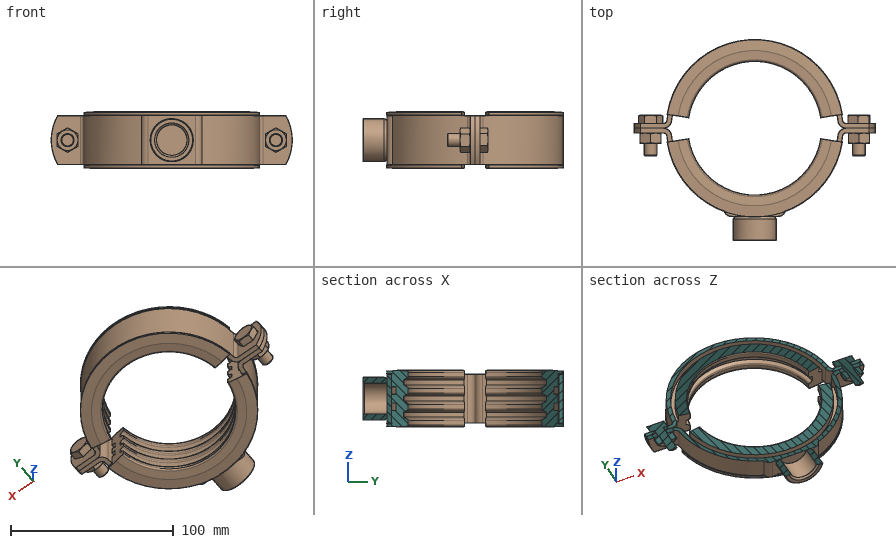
import cadquery as cq
import math


BAND_RADIUS = 54.2
SHEET = 3.0
BAND_WIDTH = 30.0
BEND_RADIUS = 2.0
FLANGE_REACH = 74.0
FLANGE_CORNER = 70.0
BAND_BORE_RADIUS = BAND_RADIUS - SHEET

PAD_DISTANCE = BAND_RADIUS
PAD_FLAT = 14.5
PAD_ROUND = 4.3

LINER_WIDTH = 35.0
LIP_RADIUS = 54.5
RIDGE_RADIUS = 47.7
RIB_RADIUS = 41.0
RIB_ROUND = 1.0
CHANNEL_CLEARANCE = 0.3
END_FACE_DROP = 0.5
LINER_GAP_ANGLE = 9.0
GROOVE_PITCH = 9.9
GROOVE_MOUTH = 5.9
GROOVE_FLOOR = 3.0
GROOVE_DEPTH = 2.8
RELIEF_WIDTH = 4.5
RELIEF_DEPTH = 2.5

BOLT_X = 64.0
BOLT_DIAMETER = 8.0
BOLT_TIP_Y = -17.0
BOLT_TIP_CHAMFER = 0.5
HEX_FLATS = 13.0
HEX_CORNERS = HEX_FLATS / math.cos(math.pi / 6)
HEX_FACE_DIAMETER = 12.7
HEX_CHAMFER_ANGLE = 25.0
HEAD_HEIGHT = 5.0
HEAD_TURNS = {-1: 0.0, 1: 33.4}
NUT_HEIGHT = 6.4
NUT_TURN = 30.0

BOSS_DIAMETER = 26.5
BOSS_TIP_Y = -69.0
BOSS_BORE = 18.6
BOSS_BORE_MOUTH = 21.0
BOSS_RIM_CHAMFER = 0.5
BOSS_NECK_INSET = 0.9
BOSS_NECK_LENGTH = 1.6

SIDES = (-1, 1)


def polar(radius, degrees):
    angle = math.radians(degrees)
    return (radius * math.cos(angle), radius * math.sin(angle))


def mirror_x(point):
    return (-point[0], point[1])


def y_cylinder(diameter, x, y_start, y_end):
    """Cylinder along Y from y_start to y_end."""
    length = abs(y_end - y_start)
    return cq.Workplane("XZ", origin=(x, max(y_start, y_end), 0)).circle(diameter / 2).extrude(length)


def band_blank():
    """Upper half band (Y > 0): an arc of sheet bent outward into a flange at both ends."""
    bend_y = SHEET + BEND_RADIUS
    bend_centre_distance = BAND_RADIUS + BEND_RADIUS
    bend_angle = math.degrees(math.asin(bend_y / bend_centre_distance))
    bend_x, _ = polar(bend_centre_distance, bend_angle)
    mid_angle = math.radians(180 + (bend_angle + 90) / 2)

    def bend_middle(radius):
        return (bend_x + radius * math.cos(mid_angle), bend_y + radius * math.sin(mid_angle))

    inner_end = polar(BAND_BORE_RADIUS, bend_angle)
    inner_bend = bend_middle(BEND_RADIUS + SHEET)
    outer_end = polar(BAND_RADIUS, bend_angle)
    outer_bend = bend_middle(BEND_RADIUS)

    profile = (
        cq.Workplane("XY", origin=(0, 0, -BAND_WIDTH / 2))
        .moveTo(*outer_end)
        .threePointArc((0, BAND_RADIUS), mirror_x(outer_end))
        .threePointArc(mirror_x(outer_bend), (-bend_x, SHEET))
        .lineTo(-FLANGE_REACH, SHEET)
        .lineTo(-FLANGE_REACH, 0)
        .lineTo(-bend_x, 0)
        .threePointArc(mirror_x(inner_bend), mirror_x(inner_end))
        .threePointArc((0, BAND_BORE_RADIUS), inner_end)
        .threePointArc(inner_bend, (bend_x, 0))
        .lineTo(FLANGE_REACH, 0)
        .lineTo(FLANGE_REACH, SHEET)
        .lineTo(bend_x, SHEET)
        .threePointArc(outer_bend, outer_end)
        .close()
    )
    return profile.extrude(BAND_WIDTH)


def band_outline():
    """Block with the front outline of the clamp, which rounds the flange ends."""
    half = BAND_WIDTH / 2
    return (
        cq.Workplane("XZ")
        .moveTo(-FLANGE_CORNER, -half)
        .lineTo(FLANGE_CORNER, -half)
        .threePointArc((FLANGE_REACH, 0), (FLANGE_CORNER, half))
        .lineTo(-FLANGE_CORNER, half)
        .threePointArc((-FLANGE_REACH, 0), (-FLANGE_CORNER, -half))
        .close()
        .extrude(BAND_RADIUS + SHEET, both=True)
    )


def upper_band():
    """Half band with bolt holes in its flanges."""
    band = band_blank().intersect(band_outline())
    for side in SIDES:
        band = band.cut(y_cylinder(BOLT_DIAMETER, side * BOLT_X, 0, SHEET))
    return band


def boss_pad():
    """Flat raised pad on the -Y side of the lower band, with rounded ends."""
    half_length = PAD_FLAT + PAD_ROUND
    inner_y = -BAND_BORE_RADIUS + SHEET
    pad = (
        cq.Workplane("XY")
        .box(2 * half_length, PAD_DISTANCE + inner_y, BAND_WIDTH)
        .translate((0, (inner_y - PAD_DISTANCE) / 2, 0))
        .edges("|Z and <Y")
        .fillet(PAD_ROUND)
    )
    pipe_side = cq.Workplane("XY").circle(BAND_BORE_RADIUS).extrude(BAND_WIDTH / 2, both=True)
    return pad.cut(pipe_side)


def lower_band():
    """Mirrored half band that carries the boss pad."""
    return upper_band().mirror("XZ").union(boss_pad())


def liner_ring():
    """Full ring with roof-shaped end faces and a channel in its back that holds the band."""
    half = LINER_WIDTH / 2
    rim = half - END_FACE_DROP
    channel = BAND_WIDTH / 2 + CHANNEL_CLEARANCE
    return (
        cq.Workplane("XZ")
        .polyline([
            (RIB_RADIUS, rim),
            (RIDGE_RADIUS, half),
            (LIP_RADIUS, rim),
            (LIP_RADIUS, channel),
            (BAND_BORE_RADIUS, channel),
            (BAND_BORE_RADIUS, -channel),
            (LIP_RADIUS, -channel),
            (LIP_RADIUS, -rim),
            (RIDGE_RADIUS, -half),
            (RIB_RADIUS, -rim),
        ])
        .close()
        .revolve(360, (0, 0, 0), (0, 1, 0))
    )


def inner_groove(z):
    """Trapezoidal groove between two ribs, centred at height z."""
    return (
        cq.Workplane("XZ")
        .polyline([
            (RIB_RADIUS, z - GROOVE_MOUTH / 2),
            (RIB_RADIUS + GROOVE_DEPTH, z - GROOVE_FLOOR / 2),
            (RIB_RADIUS + GROOVE_DEPTH, z + GROOVE_FLOOR / 2),
            (RIB_RADIUS, z + GROOVE_MOUTH / 2),
        ])
        .close()
        .revolve(360, (0, 0, 0), (0, 1, 0))
    )


def round_ribs(ring):
    """Round both edges of every rib tip."""
    tolerance = 0.01
    tip_edges = ring.edges("%CIRCLE").filter(lambda edge: abs(edge.radius() - RIB_RADIUS) < tolerance)
    return tip_edges.fillet(RIB_ROUND)


def back_relief(z):
    """Square groove in the back of the liner, centred at height z behind a rib."""
    return (
        cq.Workplane("XY", origin=(0, 0, z))
        .circle(BAND_BORE_RADIUS)
        .circle(BAND_BORE_RADIUS - RELIEF_DEPTH)
        .extrude(RELIEF_WIDTH / 2, both=True)
    )


def upper_liner():
    """Sector of the ribbed ring that lines the upper half band."""
    ring = liner_ring()
    for z in (-GROOVE_PITCH, 0, GROOVE_PITCH):
        ring = ring.cut(inner_groove(z))
    ring = round_ribs(ring)
    for side in SIDES:
        ring = ring.cut(back_relief(side * GROOVE_PITCH / 2))
    reach = 2 * LIP_RADIUS
    end_right = polar(reach, LINER_GAP_ANGLE)
    sector = (
        cq.Workplane("XY")
        .polyline([(0, 0), end_right, (reach, reach), (-reach, reach), mirror_x(end_right)])
        .close()
        .extrude(LINER_WIDTH, both=True)
    )
    return ring.intersect(sector)


def hexagon(x, y_top, height, turn, chamfered_ends):
    """Hexagonal prism along Y below y_top, with the corners of the chosen end faces chamfered.

    Without turn, two corners point toward +X and -X.
    """
    prism = (
        cq.Workplane("XZ", origin=(x, y_top, 0))
        .transformed(rotate=(0, 0, turn))
        .polygon(6, HEX_CORNERS)
        .extrude(height)
    )
    inset = (HEX_CORNERS - HEX_FACE_DIAMETER) / 2
    depth = inset * math.tan(math.radians(HEX_CHAMFER_ANGLE))
    turned = y_cylinder(HEX_CORNERS, x, y_top, y_top - height)
    for end in chamfered_ends:
        turned = turned.faces(end).edges().chamfer(depth, inset)
    return prism.intersect(turned)


def bolt(side):
    """Hexagon bolt with its head on the upper flange."""
    x = side * BOLT_X
    head = hexagon(x, SHEET + HEAD_HEIGHT, HEAD_HEIGHT, HEAD_TURNS[side], [">Y"])
    shank = y_cylinder(BOLT_DIAMETER, x, SHEET, BOLT_TIP_Y).faces("<Y").chamfer(BOLT_TIP_CHAMFER)
    return head.union(shank)


def nut(side):
    """Hexagon nut under the lower flange."""
    x = side * BOLT_X
    body = hexagon(x, -SHEET, NUT_HEIGHT, NUT_TURN, ["<Y", ">Y"])
    return body.cut(y_cylinder(BOLT_DIAMETER, x, -SHEET, -SHEET - NUT_HEIGHT))


def threaded_boss():
    """Tube standing on the pad: narrowed neck, chamfered rim and countersunk bore."""
    radius = BOSS_DIAMETER / 2
    mouth_chamfer = (BOSS_BORE_MOUTH - BOSS_BORE) / 2
    return (
        cq.Workplane("XY")
        .polyline([
            (BOSS_BORE / 2, -PAD_DISTANCE),
            (radius - BOSS_NECK_INSET, -PAD_DISTANCE),
            (radius, -PAD_DISTANCE - BOSS_NECK_LENGTH),
            (radius, BOSS_TIP_Y + BOSS_RIM_CHAMFER),
            (radius - BOSS_RIM_CHAMFER, BOSS_TIP_Y),
            (BOSS_BORE_MOUTH / 2, BOSS_TIP_Y),
            (BOSS_BORE / 2, BOSS_TIP_Y + mouth_chamfer),
        ])
        .close()
        .revolve(360, (0, 0, 0), (0, 1, 0))
    )


bands = [upper_band(), lower_band()]
liners = [upper_liner(), upper_liner().mirror("XZ")]
bolts = [bolt(side) for side in SIDES]
nuts = [nut(side) for side in SIDES]
boss = threaded_boss()

bodies = [*bands, *liners, *bolts, *nuts, boss]
result = cq.Compound.makeCompound([body.val() for body in bodies])